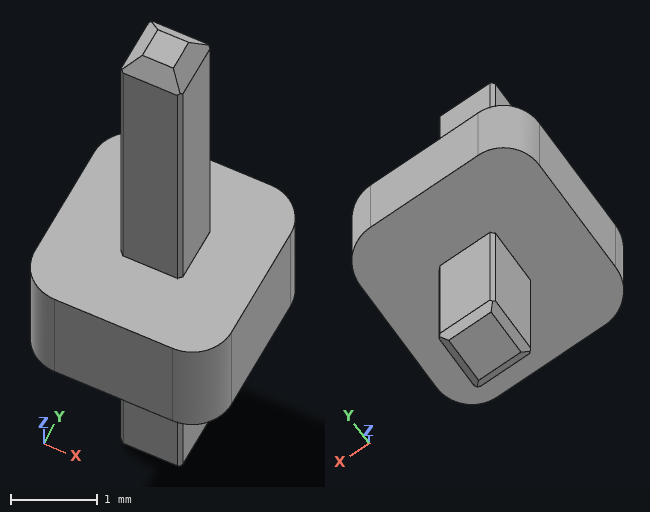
import cadquery as cq

pin_length = 8.0
pin_width = 0.8
pin_edge_chamfer = 0.05
top_tip_chamfer = 0.2
bottom_tip_chamfer = top_tip_chamfer / 2

housing_width = 2.54
housing_corner_radius = housing_width / 5
pin_offset = 0.02
pin_above_housing = pin_length / 2
pin_below_housing = 2.5
housing_height = pin_length - pin_above_housing - pin_below_housing


def square_frustum(base_z, base_width, height, top_width):
    """Square block on the pin axis that tapers evenly from base to top."""
    return (
        cq.Workplane("XY", origin=(pin_offset, pin_offset, base_z))
        .rect(base_width, base_width)
        .workplane(offset=height)
        .rect(top_width, top_width)
        .loft(ruled=True)
    )


def make_pin_bar():
    """Full-length square bar with its four long edges chamfered."""
    return (
        cq.Workplane("XY", origin=(pin_offset, pin_offset, -pin_below_housing))
        .rect(pin_width, pin_width)
        .extrude(pin_length)
        .edges("|Z")
        .chamfer(pin_edge_chamfer)
    )


def make_pin():
    """Pin bar trimmed to a tapered tip at each end."""
    bottom_z = -pin_below_housing
    shank_bottom_z = bottom_z + bottom_tip_chamfer
    shank_length = pin_length - bottom_tip_chamfer - top_tip_chamfer
    shank_top_z = shank_bottom_z + shank_length
    bottom_tip_width = pin_width - 2 * bottom_tip_chamfer
    top_tip_width = pin_width - 2 * top_tip_chamfer

    envelope = (
        square_frustum(bottom_z, bottom_tip_width, bottom_tip_chamfer, pin_width)
        .union(square_frustum(shank_bottom_z, pin_width, shank_length, pin_width))
        .union(square_frustum(shank_top_z, pin_width, top_tip_chamfer, top_tip_width))
    )
    return make_pin_bar().intersect(envelope)


def make_housing():
    """Block with rounded vertical corners and a through hole that fits the pin."""
    return (
        cq.Workplane("XY")
        .rect(housing_width, housing_width)
        .extrude(housing_height)
        .edges("|Z")
        .fillet(housing_corner_radius)
        .cut(make_pin_bar())
    )


pin = make_pin()
housing = make_housing()

result = cq.Compound.makeCompound([housing.solids().val(), pin.solids().val()])